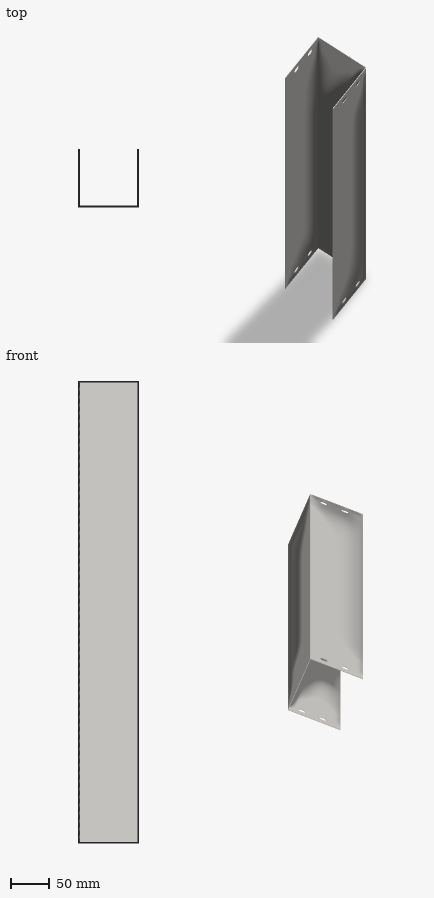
import cadquery as cq

width = 77.5
depth = 74.35
length = 600.0

sheet = 0.8
bend_inner_radius = 0.2
bend_outer_radius = bend_inner_radius + sheet

slot_length = 10.0
slot_height = 8.0
slot_spacing = 30.0
first_slot_from_free_edge = 25.15
end_distance = 15.0


def make_channel():
    """U-shaped channel: web on the -Y side, flanges open towards +Y, both bends rounded."""
    outer = (
        cq.Workplane("XY")
        .box(width, depth, length)
        .edges("|Z and <Y")
        .fillet(bend_outer_radius)
    )
    inner = (
        cq.Workplane("XY")
        .box(width - 2 * sheet, depth, length)
        .edges("|Z and <Y")
        .fillet(bend_inner_radius)
        .translate((0, sheet, 0))
    )
    return outer.cut(inner)


def make_slots():
    """Cutters for the slot pairs at both ends, reaching through both flanges."""
    first_y = depth / 2 - first_slot_from_free_edge
    slot_z = length / 2 - end_distance
    centers = [(y, z) for y in (first_y, first_y - slot_spacing) for z in (-slot_z, slot_z)]
    return (
        cq.Workplane("YZ")
        .pushPoints(centers)
        .slot2D(slot_length, slot_height)
        .extrude(width, both=True)
    )


result = make_channel().cut(make_slots())